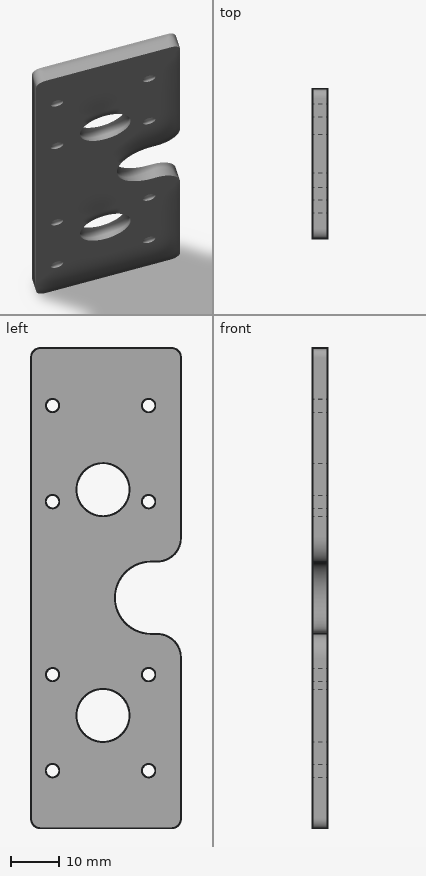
import cadquery as cq

thickness = 3.17
width = 31.25
height = 100.0
corner_radius = 2.0

notch_radius = 7.5
notch_edge_distance = 6.25
notch_center_z = -2.0
mouth_radius = 5.0

screw_spacing = 20.0
screw_edge_distance = 4.5
screw_end_distance = 12.0
screw_diameter = 2.75
small_screw_diameter = 2.7

opening_diameter = 11.0
opening_edge_distance = 15.0
upper_opening_z = 20.5
opening_spacing = 47.0

plus_y_edge = width / 2
minus_y_edge = -width / 2
notch_center_y = minus_y_edge + notch_edge_distance
outer_screw_y = plus_y_edge - screw_edge_distance
inner_screw_y = outer_screw_y - screw_spacing
far_screw_z = height / 2 - screw_end_distance
near_screw_z = far_screw_z - screw_spacing
pattern_top_heights = [far_screw_z, -near_screw_z]
pattern_bottom_heights = [near_screw_z, -far_screw_z]
opening_y = plus_y_edge - opening_edge_distance
opening_heights = [upper_opening_z, upper_opening_z - opening_spacing]


def make_blank():
    """Rectangular plate with its four corners rounded."""
    return cq.Workplane("XY").box(thickness, width, height).edges("|X").fillet(corner_radius)


def make_notch():
    """Cutter for the notch; its outline flares tangentially into the -Y edge."""
    bottom_z = notch_center_z - notch_radius
    top_z = notch_center_z + notch_radius
    flare_y = minus_y_edge + mouth_radius
    return (
        cq.Workplane("YZ")
        .moveTo(minus_y_edge, bottom_z - mouth_radius)
        .radiusArc((flare_y, bottom_z), mouth_radius)
        .lineTo(notch_center_y, bottom_z)
        .threePointArc((notch_center_y + notch_radius, notch_center_z), (notch_center_y, top_z))
        .lineTo(flare_y, top_z)
        .radiusArc((minus_y_edge, top_z + mouth_radius), mouth_radius)
        .close()
        .extrude(thickness, both=True)
    )


def make_hole_column(y, heights, diameter):
    """Cutter for through holes that share one Y position."""
    centers = [(y, z) for z in heights]
    return cq.Workplane("YZ").pushPoints(centers).circle(diameter / 2).extrude(thickness, both=True)


result = (
    make_blank()
    .cut(make_notch())
    .cut(make_hole_column(outer_screw_y, pattern_top_heights, small_screw_diameter))
    .cut(make_hole_column(outer_screw_y, pattern_bottom_heights, screw_diameter))
    .cut(make_hole_column(inner_screw_y, pattern_top_heights + pattern_bottom_heights, screw_diameter))
    .cut(make_hole_column(opening_y, opening_heights, opening_diameter))
)